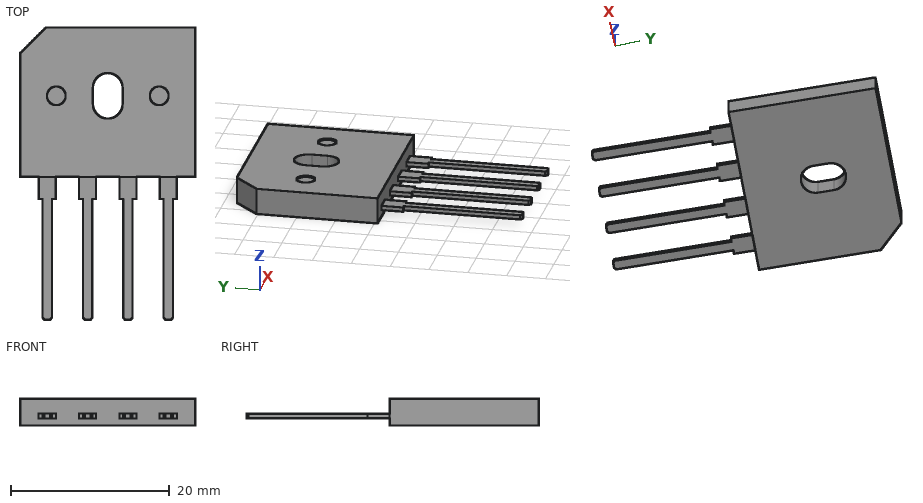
import cadquery as cq

total_length = 36.8
body_width = 22.05
body_length = 18.8
body_height = 3.42
corner_chamfer = 3.25

feature_line_y = body_length - 8.6
slot_width = 3.7
slot_length = 5.7
mark_diameter = 2.35
mark_spacing = 12.95
mark_depth = 0.2

lead_count = 4
lead_pitch = 5.08
lead_length = total_length - body_length
lead_thickness = 0.6
lead_bottom_z = 0.92
shoulder_width = 2.17
shoulder_length = 2.8
lead_width = 1.2
tip_chamfer = 0.25


def make_housing():
    """Block with one cut corner, a through slot and two shallow round marks."""
    block = (
        cq.Workplane("XY")
        .box(body_width, body_length, body_height, centered=(True, False, False))
        .edges("|Z and <X and >Y")
        .chamfer(corner_chamfer)
    )
    slot = (
        cq.Workplane("XY")
        .center(0, feature_line_y)
        .slot2D(slot_length, slot_width, 90)
        .extrude(body_height)
    )
    marks = (
        cq.Workplane("XY", origin=(0, feature_line_y, body_height))
        .pushPoints([(-mark_spacing / 2, 0), (mark_spacing / 2, 0)])
        .circle(mark_diameter / 2)
        .extrude(-mark_depth)
    )
    return block.cut(slot).cut(marks)


def make_lead(center_x):
    """Flat lead with a wide shoulder at the body and a chamfered tip."""
    right_side = [
        (shoulder_width / 2, 0),
        (shoulder_width / 2, -shoulder_length),
        (lead_width / 2, -shoulder_length),
        (lead_width / 2, tip_chamfer - lead_length),
        (lead_width / 2 - tip_chamfer, -lead_length),
    ]
    left_side = [(-x, y) for x, y in reversed(right_side)]
    return (
        cq.Workplane("XY", origin=(center_x, 0, lead_bottom_z))
        .polyline(right_side + left_side)
        .close()
        .extrude(lead_thickness)
    )


housing = make_housing()

leads = []
for index in range(lead_count):
    lead_x = (index - (lead_count - 1) / 2) * lead_pitch
    leads.append(make_lead(lead_x))

result = cq.Compound.makeCompound([housing.val(), *[lead.val() for lead in leads]])